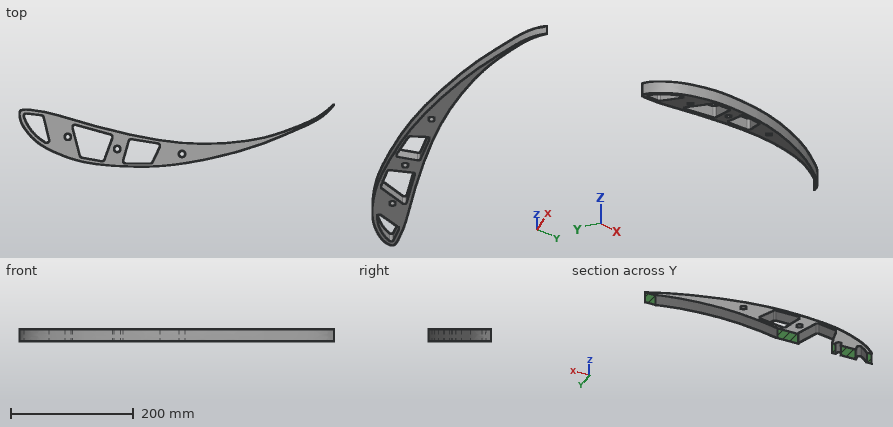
import cadquery as cq
import math

LENGTH = 512.86
HEIGHT = 101.96
THICKNESS = 20.0
HOLE_DIAMETER = 10.0
WINDOW_CORNER_RADIUS = 4.0

TIP_RADIUS = 0.4
TIP_ANGLE = math.radians(47.0)
TIP_CENTER = (LENGTH - TIP_RADIUS, HEIGHT - TIP_RADIUS)

UPPER_SURFACE = [
    (490.0, 83.6),
    (450.0, 64.8),
    (400.0, 48.3),
    (350.0, 40.3),
    (300.0, 37.8),
    (250.0, 40.9),
    (200.0, 48.8),
    (150.0, 60.0),
    (80.0, 79.2),
    (40.0, 90.0),
    (20.0, 93.0),
]
NOSE = [
    (5.5, 93.3),
    (1.2, 91.3),
    (0.0, 86.5),
]
LOWER_SURFACE = [
    (10.0, 60.5),
    (30.0, 39.5),
    (60.0, 22.6),
    (100.0, 9.0),
    (150.0, 2.0),
    (205.0, 0.08),
    (250.0, 3.2),
    (300.0, 11.3),
    (350.0, 23.2),
    (400.0, 39.1),
    (450.0, 59.9),
    (490.0, 79.9),
]

FRONT_WINDOW_TOP_LEFT = (5.6, 87.6)
FRONT_WINDOW_TOP_RIGHT = (38.6, 83.8)
FRONT_WINDOW_BOTTOM = (50.3, 36.0)
FRONT_WINDOW_ARC_POINT = (18.0, 61.5)
MIDDLE_WINDOW = [(85.0, 70.3), (152.9, 51.5), (137.2, 8.9), (99.3, 15.8)]
REAR_WINDOW = [(179.2, 45.6), (230.9, 37.4), (215.8, 5.8), (167.9, 5.8)]

HOLE_CENTERS = [(79.0, 49.0), (159.5, 29.3), (265.0, 21.2)]


def tip_point(angle):
    """Point on the trailing round at the given direction from its center."""
    return (
        TIP_CENTER[0] + TIP_RADIUS * math.cos(angle),
        TIP_CENTER[1] + TIP_RADIUS * math.sin(angle),
    )


def make_blade():
    """Plate with the full cambered outline: one smooth curve closed by the trailing round."""
    tip_upper = tip_point(TIP_ANGLE + math.pi / 2)
    tip_lower = tip_point(TIP_ANGLE - math.pi / 2)
    return (
        cq.Workplane("XY")
        .spline([tip_upper] + UPPER_SURFACE + NOSE + LOWER_SURFACE + [tip_lower])
        .threePointArc(tip_point(TIP_ANGLE), tip_upper)
        .close()
        .extrude(THICKNESS)
    )


def make_front_window():
    """Three-sided cutter whose long side follows the rounded nose."""
    return (
        cq.Workplane("XY")
        .moveTo(*FRONT_WINDOW_TOP_LEFT)
        .lineTo(*FRONT_WINDOW_TOP_RIGHT)
        .lineTo(*FRONT_WINDOW_BOTTOM)
        .threePointArc(FRONT_WINDOW_ARC_POINT, FRONT_WINDOW_TOP_LEFT)
        .close()
        .extrude(THICKNESS)
        .edges("|Z")
        .fillet(WINDOW_CORNER_RADIUS)
    )


def make_four_sided_window(corners):
    """Four-sided cutter with rounded corners."""
    return (
        cq.Workplane("XY")
        .polyline(corners)
        .close()
        .extrude(THICKNESS)
        .edges("|Z")
        .fillet(WINDOW_CORNER_RADIUS)
    )


def make_holes():
    """Round cutters for the through holes."""
    return cq.Workplane("XY").pushPoints(HOLE_CENTERS).circle(HOLE_DIAMETER / 2).extrude(THICKNESS)


result = make_blade().cut(make_front_window())
for window_corners in (MIDDLE_WINDOW, REAR_WINDOW):
    result = result.cut(make_four_sided_window(window_corners))
result = result.cut(make_holes())